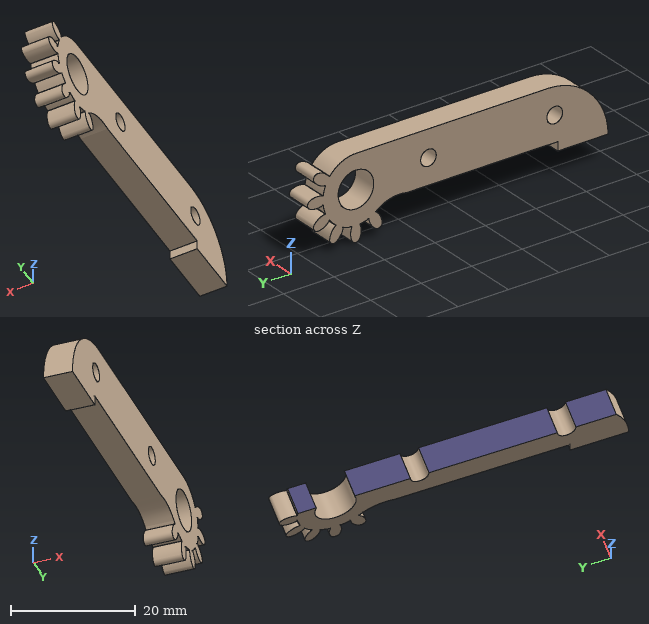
import cadquery as cq
import math

thickness = 5.0
total_length = 59.6

hub_radius = 6.55
bore_radius = 3.5
tooth_tip_radius = 9.6
tooth_count = 6
tooth_pitch_angle = 30.0
first_tooth_angle = 30.0
tooth_root_half_width = 0.85
tooth_belly_half_width = 1.1
tooth_belly_radius = 7.75
tooth_shoulder_half_width = 0.8
tooth_shoulder_radius = 9.1
tooth_embed = 0.6

arm_height = 10.25
nose_radius = 12.0
lip_length = 10.0
arm_top = hub_radius
arm_bottom = arm_top - arm_height
arm_end = tooth_tip_radius - total_length
nose_bottom = arm_top - nose_radius
nose_start = arm_end + nose_radius
lip_start = arm_end + lip_length

neck_end = -10.15
neck_middle = (-6.2, -3.95)
neck_hub_y = -3.8
neck_hub_z = -math.sqrt(hub_radius**2 - neck_hub_y**2)

pin_hole_radius = 1.55
pin_hole_z = 1.3
first_pin_hole_y = -14.35
pin_hole_spacing = 25.05


def make_arm():
    """Arm with a quarter-round nose, a lip below it and a curved neck."""
    nose_middle = (
        nose_start - nose_radius * math.sqrt(0.5),
        nose_bottom + nose_radius * math.sqrt(0.5),
    )
    return (
        cq.Workplane("YZ")
        .moveTo(0, arm_top)
        .lineTo(nose_start, arm_top)
        .threePointArc(nose_middle, (arm_end, nose_bottom))
        .lineTo(lip_start, nose_bottom)
        .lineTo(lip_start, arm_bottom)
        .lineTo(neck_end, arm_bottom)
        .threePointArc(neck_middle, (neck_hub_y, neck_hub_z))
        .lineTo(0, 0)
        .close()
        .extrude(thickness)
    )


def make_tooth(angle):
    """Tooth with bulging flanks and a rounded tip, turned about the hub axis."""
    tooth = (
        cq.Workplane("YZ")
        .moveTo(hub_radius - tooth_embed, -tooth_root_half_width)
        .lineTo(hub_radius, -tooth_root_half_width)
        .threePointArc(
            (tooth_belly_radius, -tooth_belly_half_width),
            (tooth_shoulder_radius, -tooth_shoulder_half_width),
        )
        .threePointArc(
            (tooth_tip_radius, 0),
            (tooth_shoulder_radius, tooth_shoulder_half_width),
        )
        .threePointArc(
            (tooth_belly_radius, tooth_belly_half_width),
            (hub_radius, tooth_root_half_width),
        )
        .lineTo(hub_radius - tooth_embed, tooth_root_half_width)
        .close()
        .extrude(thickness)
    )
    return tooth.rotate((0, 0, 0), (1, 0, 0), angle)


def make_hole(y, z, radius):
    """Cylinder through the full thickness, used as a cutter."""
    return cq.Workplane("YZ").center(y, z).circle(radius).extrude(thickness)


hub = cq.Workplane("YZ").circle(hub_radius).extrude(thickness)
result = make_arm().union(hub)

for index in range(tooth_count):
    result = result.union(make_tooth(first_tooth_angle - index * tooth_pitch_angle))

result = result.cut(make_hole(0, 0, bore_radius))
for pin_hole_y in (first_pin_hole_y, first_pin_hole_y - pin_hole_spacing):
    result = result.cut(make_hole(pin_hole_y, pin_hole_z, pin_hole_radius))